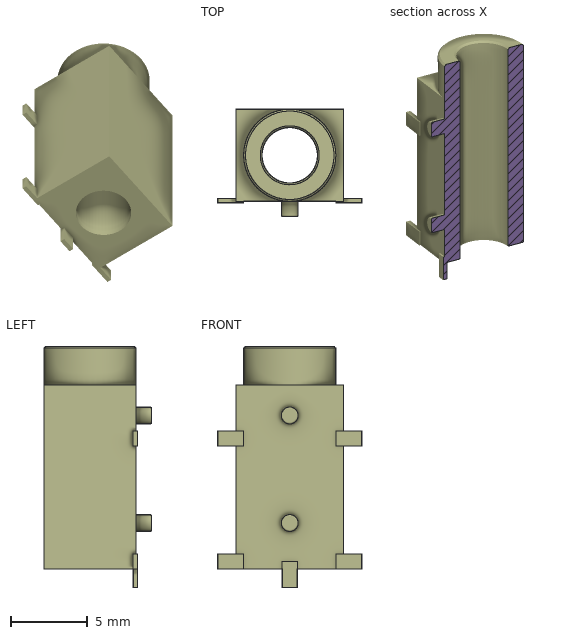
import cadquery as cq

BODY_WIDTH = 7.0
BODY_DEPTH = 6.0
BODY_HEIGHT = 12.0
MOUNT_FACE_Y = -BODY_DEPTH / 2

COLLAR_DIAMETER = BODY_DEPTH
COLLAR_HEIGHT = 2.5
COLLAR_TOP_Z = BODY_HEIGHT + COLLAR_HEIGHT
BORE_DIAMETER = 3.6
RIM_CHAMFER = 0.12

PEG_DIAMETER = 1.1
PEG_LENGTH = 1.0
PEG_TIP_ROUND = 0.1
PEG_HEIGHTS = (3.0, 10.0)

TAB_WIDTH = 1.0
TAB_THICKNESS = 0.3
TAB_PROUD = 0.1
TAB_REACH = 1.2
TAB_OVERLAP = 0.5
TAB_LENGTH = TAB_REACH + TAB_OVERLAP
TAB_CENTER_Y = MOUNT_FACE_Y - TAB_PROUD + TAB_THICKNESS / 2
SIDE_TAB_HEIGHTS = (TAB_WIDTH / 2, 8.5)


def make_housing():
    """Block with a collar on top and a bore running through both."""
    block = cq.Workplane("XY").box(BODY_WIDTH, BODY_DEPTH, BODY_HEIGHT, centered=(True, True, False))
    collar = (
        cq.Workplane("XY", origin=(0, 0, BODY_HEIGHT))
        .circle(COLLAR_DIAMETER / 2)
        .extrude(COLLAR_HEIGHT)
    )
    bore = cq.Workplane("XY").circle(BORE_DIAMETER / 2).extrude(COLLAR_TOP_Z)
    ring = collar.cut(bore).faces(">Z").edges().chamfer(RIM_CHAMFER)
    return block.cut(bore).union(ring)


def make_peg(height):
    """Peg with a rounded tip, standing out of the mounting face."""
    return (
        cq.Workplane("XZ", origin=(0, MOUNT_FACE_Y, height))
        .circle(PEG_DIAMETER / 2)
        .extrude(PEG_LENGTH)
        .faces("<Y")
        .edges()
        .fillet(PEG_TIP_ROUND)
    )


def make_side_tab(side, height):
    """Tab sticking out sideways; side is -1 for left and +1 for right."""
    center_x = side * (BODY_WIDTH / 2 - TAB_OVERLAP + TAB_LENGTH / 2)
    tab = cq.Workplane("XY").box(TAB_LENGTH, TAB_THICKNESS, TAB_WIDTH)
    return tab.translate((center_x, TAB_CENTER_Y, height))


def make_bottom_tab():
    """Tab sticking out below the block on its centre line."""
    center_z = TAB_OVERLAP - TAB_LENGTH / 2
    tab = cq.Workplane("XY").box(TAB_WIDTH, TAB_THICKNESS, TAB_LENGTH)
    return tab.translate((0, TAB_CENTER_Y, center_z))


result = make_housing().union(make_bottom_tab())
for peg_height in PEG_HEIGHTS:
    result = result.union(make_peg(peg_height))
for tab_height in SIDE_TAB_HEIGHTS:
    for tab_side in (-1, 1):
        result = result.union(make_side_tab(tab_side, tab_height))